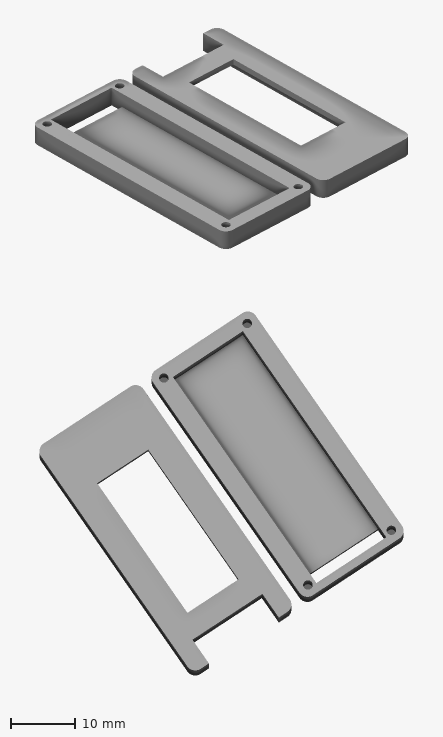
import cadquery as cq

length = 43.5
width = 19.2
height = 3.25
corner_radius = 1.5
gap = 1.83
lid_center_y = (width + gap) / 2
base_center_y = -lid_center_y

cavity_width = 13.1
front_wall = 1.3
rear_wall = 2.45
cavity_end = length - rear_wall

base_floor = 0.8
cable_slot_length = 2.3
screw_hole_diameter = 1.5
screw_hole_inset = 1.8
screw_hole_depth = height - base_floor

notch_depth = 4.55
lid_top_thickness = 1.0
undercut_height = 0.75
window_start = 8.55
window_length = 25.0
window_width = 9.55


def block(x_start, x_end, block_width, z_bottom, z_top, center_y):
    """Upright box between two X and two Z positions, centred on center_y."""
    return (
        cq.Workplane("XY", origin=(0, center_y, z_bottom))
        .center((x_start + x_end) / 2, 0)
        .rect(x_end - x_start, block_width)
        .extrude(z_top - z_bottom)
    )


def plate(center_y):
    """Plain plate with rounded vertical corners."""
    return block(0, length, width, 0, height, center_y).edges("|Z").fillet(corner_radius)


def make_base():
    """Open tray with a cable slot through its floor and four blind screw holes."""
    cavity = block(front_wall, cavity_end, cavity_width, base_floor, height, base_center_y)
    slot_end = front_wall + cable_slot_length
    cable_slot = block(front_wall, slot_end, cavity_width, 0, base_floor, base_center_y)
    screw_holes = (
        cq.Workplane("XY", origin=(length / 2, base_center_y, height))
        .rect(length - 2 * screw_hole_inset, width - 2 * screw_hole_inset, forConstruction=True)
        .vertices()
        .circle(screw_hole_diameter / 2)
        .extrude(-screw_hole_depth)
    )
    return plate(base_center_y).cut(cavity).cut(cable_slot).cut(screw_holes)


def make_lid():
    """Cover with an end notch, a window and a cavity open at the bottom."""
    notch = block(0, notch_depth, cavity_width, 0, height, lid_center_y)
    cavity_start = notch_depth + front_wall
    cavity_top = height - lid_top_thickness
    cavity = block(cavity_start, cavity_end, cavity_width, 0, cavity_top, lid_center_y)
    undercut = block(notch_depth, cavity_start, cavity_width, 0, undercut_height, lid_center_y)
    window_end = window_start + window_length
    window = block(window_start, window_end, window_width, cavity_top, height, lid_center_y)
    return plate(lid_center_y).cut(notch).cut(cavity).cut(undercut).cut(window)


base = make_base()
lid = make_lid()

result = cq.Compound.makeCompound([base.solids().val(), lid.solids().val()])